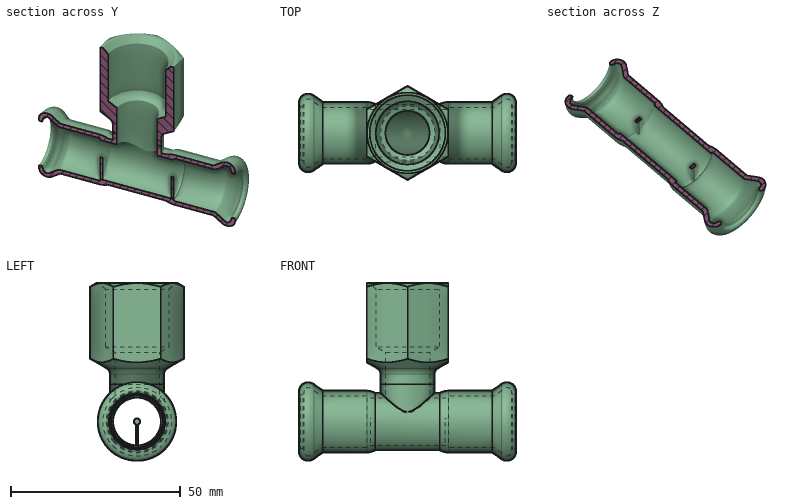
import cadquery as cq
import math


half_length = 32.0
run_outer_r = 17.0 / 2
run_bore_r = 14.0 / 2
socket_outer_r = 18.3 / 2
socket_bore_r = 15.2 / 2
socket_depth = 20.0
socket_floor_x = half_length - socket_depth
shoulder_end_x = 9.5
shoulder_arc_r = 5.0

bead_outer_r = 11.6
bead_section_r = 2.75
bead_wall = 1.5
bead_cone_end_x = 24.9
mouth_r = 15.8 / 2
mouth_chamfer = 0.4
lip_thickness = 1.1
throat_fillet_r = 1.5

bead_x = half_length - bead_section_r
bead_ring_r = bead_outer_r - bead_section_r
groove_section_r = bead_section_r - bead_wall

to_bead_x = bead_x - bead_cone_end_x
to_bead_r = bead_ring_r - socket_outer_r
cone_slope = math.atan2(to_bead_r, to_bead_x) + math.asin(bead_section_r / math.hypot(to_bead_x, to_bead_r))

branch_outer_r = 16.0 / 2
branch_bore_r = 13.0 / 2
branch_top_z = 11.0

overall_height = 52.4
adapter_top_z = overall_height - bead_outer_r
hex_across_flats = 24.0
hex_corner_r = hex_across_flats / math.sqrt(3)
hex_top_face_r = 23.8 / 2
hex_low_corner_z = 18.5
hex_cone_angle = math.radians(30)
neck_fillet_r = 1.9
thread_r = 18.63 / 2
thread_chamfer_r = 22.3 / 2
thread_chamfer_depth = thread_chamfer_r - thread_r
thread_end_z = 22.0

marker_disc_r = 0.95
marker_stem_width = 0.7
marker_thickness = 1.0


def bead_point(section_r, angle):
    """Point of a circle round the bead's section centre, angle measured from +radial towards +X."""
    return (bead_x + section_r * math.sin(angle), bead_ring_r + section_r * math.cos(angle))


def revolve_about_x(profile):
    return profile.close().revolve(360, (0, 0, 0), (1, 0, 0))


def revolve_about_z(profile):
    return profile.close().revolve(360, (0, 0, 0), (0, 1, 0))


def both_ends(body):
    return [body, body.mirror("YZ")]


def run_cylinder(radius, half_span):
    return cq.Workplane("YZ", origin=(-half_span, 0, 0)).circle(radius).extrude(2 * half_span)


def socket_outside():
    quarter = math.pi / 2
    profile = (
        cq.Workplane("XY")
        .moveTo(shoulder_end_x, 0)
        .lineTo(shoulder_end_x, run_outer_r)
        .radiusArc((socket_floor_x, socket_outer_r), shoulder_arc_r)
        .lineTo(bead_cone_end_x, socket_outer_r)
        .lineTo(*bead_point(bead_section_r, -cone_slope))
        .threePointArc(bead_point(bead_section_r, quarter / 2), bead_point(bead_section_r, quarter))
        .lineTo(half_length, 0)
    )
    return revolve_about_x(profile)


def socket_inside():
    quarter = math.pi / 2
    lip_x = half_length - lip_thickness

    def throat_point(angle):
        return (
            bead_cone_end_x + throat_fillet_r * math.sin(angle),
            socket_bore_r + throat_fillet_r * (1 - math.cos(angle)),
        )

    profile = (
        cq.Workplane("XY")
        .moveTo(socket_floor_x, 0)
        .lineTo(socket_floor_x, socket_bore_r)
        .lineTo(bead_cone_end_x, socket_bore_r)
        .threePointArc(throat_point(cone_slope / 2), throat_point(cone_slope))
        .lineTo(*bead_point(groove_section_r, -cone_slope))
        .threePointArc(bead_point(groove_section_r, quarter / 2), bead_point(groove_section_r, quarter))
        .lineTo(lip_x, mouth_r)
        .lineTo(half_length - mouth_chamfer, mouth_r)
        .lineTo(half_length, mouth_r + mouth_chamfer)
        .lineTo(half_length, 0)
    )
    return revolve_about_x(profile)


def make_tee():
    tee = run_cylinder(run_outer_r, shoulder_end_x)
    for socket in both_ends(socket_outside()):
        tee = tee.union(socket)
    tee = tee.union(cq.Workplane("XY").circle(branch_outer_r).extrude(branch_top_z))
    tee = tee.cut(cq.Workplane("XY").circle(branch_bore_r).extrude(branch_top_z))
    tee = tee.cut(run_cylinder(run_bore_r, half_length))
    for socket in both_ends(socket_inside()):
        tee = tee.cut(socket)
    return tee


def adapter_turned_shape():
    """Round envelope: neck, fillet, lower cone, hexagon corners and top chamfer cone."""
    rise = math.tan(hex_cone_angle)
    top_corner_z = adapter_top_z - (hex_corner_r - hex_top_face_r) * rise
    cone_foot_z = hex_low_corner_z - (hex_corner_r - branch_outer_r) * rise
    turn = math.pi / 2 - hex_cone_angle
    fillet_centre_r = branch_outer_r + neck_fillet_r
    fillet_centre_z = cone_foot_z - neck_fillet_r * math.tan(turn / 2)

    def fillet_point(angle):
        return (
            fillet_centre_r - neck_fillet_r * math.cos(angle),
            fillet_centre_z + neck_fillet_r * math.sin(angle),
        )

    profile = (
        cq.Workplane("XZ")
        .moveTo(0, branch_top_z)
        .lineTo(branch_outer_r, branch_top_z)
        .lineTo(*fillet_point(0))
        .threePointArc(fillet_point(turn / 2), fillet_point(turn))
        .lineTo(hex_corner_r, hex_low_corner_z)
        .lineTo(hex_corner_r, top_corner_z)
        .lineTo(hex_top_face_r, adapter_top_z)
        .lineTo(0, adapter_top_z)
    )
    return revolve_about_z(profile)


def adapter_bore():
    cone_depth = (thread_r - branch_bore_r) * math.tan(hex_cone_angle)
    profile = (
        cq.Workplane("XZ")
        .moveTo(0, branch_top_z)
        .lineTo(branch_bore_r, branch_top_z)
        .lineTo(branch_bore_r, thread_end_z - cone_depth)
        .lineTo(thread_r, thread_end_z)
        .lineTo(thread_r, adapter_top_z - thread_chamfer_depth)
        .lineTo(thread_chamfer_r, adapter_top_z)
        .lineTo(0, adapter_top_z)
    )
    return revolve_about_z(profile)


def make_adapter():
    hexagon = (
        cq.Workplane("XY", origin=(0, 0, branch_top_z))
        .polygon(6, 2 * hex_corner_r)
        .extrude(adapter_top_z - branch_top_z)
        .rotate((0, 0, 0), (0, 0, 1), 90)
    )
    return adapter_turned_shape().intersect(hexagon).cut(adapter_bore())


def make_marker():
    """Marker of the +X socket; its stem stands on the run bore."""
    plane = cq.Workplane("YZ", origin=(socket_floor_x - marker_thickness, 0, 0))
    disc = plane.circle(marker_disc_r).extrude(marker_thickness)
    stem = plane.center(0, -run_bore_r / 2).rect(marker_stem_width, run_bore_r).extrude(marker_thickness)
    return disc.union(stem).intersect(run_cylinder(run_bore_r, half_length))


tee = make_tee()
adapter = make_adapter()
markers = both_ends(make_marker())

result = cq.Compound.makeCompound([tee.val(), adapter.val(), *[marker.val() for marker in markers]])